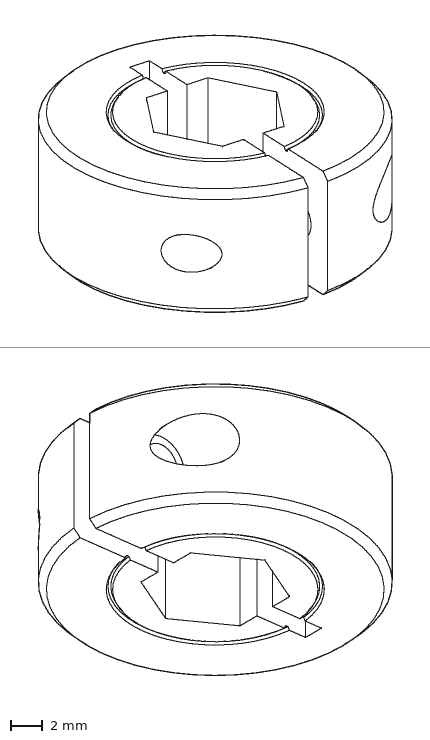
import cadquery as cq

outer_diameter = 22.2
height = 8.7
rim_chamfer = 0.5

hex_across_flats = 8.22

slot_width = 1.5
slot_closed_end_x = -8.15

screw_x = 7.95
screw_hole_diameter = 2.65
screw_head_diameter = 3.8
screw_head_seat_y = 4

groove_radius = 6.65
groove_width = 0.4
groove_floor_width = 0.18
groove_depth = 0.22

outer_radius = outer_diameter / 2


def make_body():
    """Chamfered disc centred on the origin."""
    disc = cq.Workplane("XY").circle(outer_radius).extrude(height / 2, both=True)
    return disc.faces("|Z").edges().chamfer(rim_chamfer)


def make_hex_bore():
    """Hexagonal prism with its corners on the Y axis."""
    return (
        cq.Workplane("XY")
        .polygon(6, hex_across_flats, circumscribed=True)
        .extrude(height, both=True)
    )


def make_slot():
    """Slot that splits the collar at the +X side."""
    slot_length = outer_radius - slot_closed_end_x
    slot_middle_x = (outer_radius + slot_closed_end_x) / 2
    return cq.Workplane("XY").center(slot_middle_x, 0).box(slot_length, slot_width, height)


def make_screw_hole():
    """Through hole along Y with a counterbore for the screw head at the +Y side."""
    shank = cq.Workplane("XZ").center(screw_x, 0).circle(screw_hole_diameter / 2)
    head = (
        cq.Workplane("XZ", origin=(screw_x, screw_head_seat_y, 0))
        .circle(screw_head_diameter / 2)
        .extrude(-outer_radius)
    )
    return shank.extrude(outer_radius, both=True).union(head)


def make_groove():
    """Ring of trapezoidal section that cuts the groove into the top face."""
    top_z = height / 2
    floor_z = top_z - groove_depth
    return (
        cq.Workplane("XZ")
        .moveTo(groove_radius - groove_width / 2, top_z)
        .lineTo(groove_radius - groove_floor_width / 2, floor_z)
        .lineTo(groove_radius + groove_floor_width / 2, floor_z)
        .lineTo(groove_radius + groove_width / 2, top_z)
        .close()
        .revolve(360, (0, 0), (0, 1))
    )


top_groove = make_groove()
bottom_groove = top_groove.mirror("XY")

result = make_body().cut(make_hex_bore()).cut(make_slot()).cut(make_screw_hole())
result = result.cut(top_groove).cut(bottom_groove)